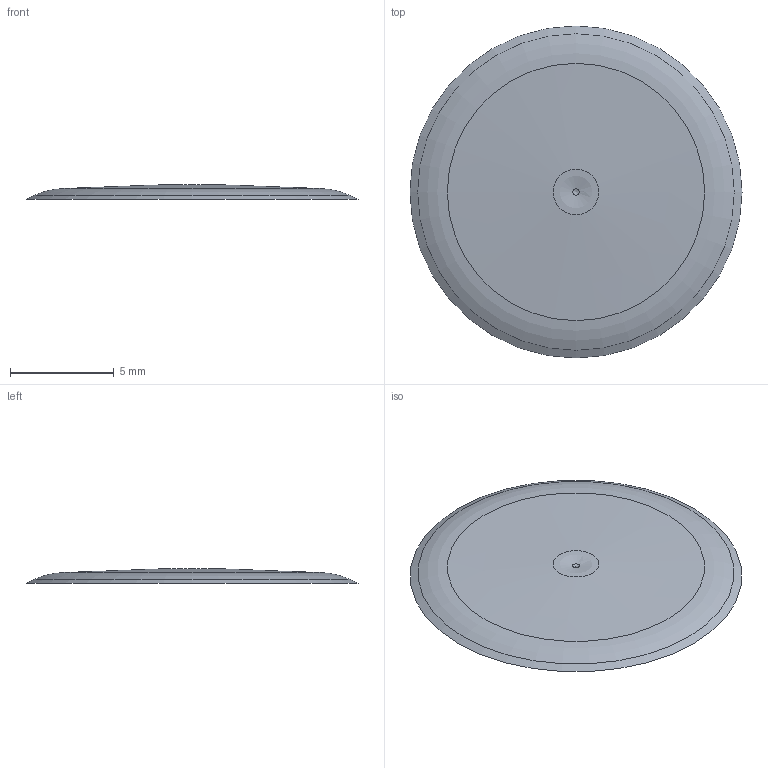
import cadquery as cq
import math

disc_radius = 8.0
crest_height = 0.72

bevel_inner_radius = 7.62
bevel_height = 0.19

cone_outer_radius = 6.2
cone_inner_radius = 1.1
cone_slope = math.radians(2.15)

funnel_arc_radius = 3.0
dimple_radius = 0.16

funnel_center_radius = cone_inner_radius - funnel_arc_radius * math.sin(cone_slope)
funnel_center_height = crest_height - funnel_arc_radius


def funnel_point(radius):
    """Profile point on the funnel arc at a distance from the axis."""
    offset = radius - funnel_center_radius
    return (radius, funnel_center_height + math.sqrt(funnel_arc_radius**2 - offset**2))


def disc_profile():
    """Closed half section of the disc, with radius first and height second."""
    cone_inner_point = funnel_point(cone_inner_radius)
    cone_drop = (cone_outer_radius - cone_inner_radius) * math.tan(cone_slope)
    cone_outer_point = (cone_outer_radius, cone_inner_point[1] - cone_drop)

    dimple_edge = funnel_point(dimple_radius)
    funnel_middle = funnel_point((dimple_radius + cone_inner_radius) / 2)

    dimple_slope = math.asin((funnel_center_radius - dimple_radius) / funnel_arc_radius)
    dimple_depth = dimple_radius * math.tan(dimple_slope)
    dimple_bottom = (0, dimple_edge[1] - dimple_depth)

    return (
        cq.Workplane("XZ")
        .moveTo(0, 0)
        .lineTo(*dimple_bottom)
        .lineTo(*dimple_edge)
        .threePointArc(funnel_middle, cone_inner_point)
        .lineTo(*cone_outer_point)
        .tangentArcPoint((bevel_inner_radius, bevel_height), relative=False)
        .lineTo(disc_radius, 0)
        .close()
    )


result = disc_profile().revolve(360, (0, 0, 0), (0, 1, 0))